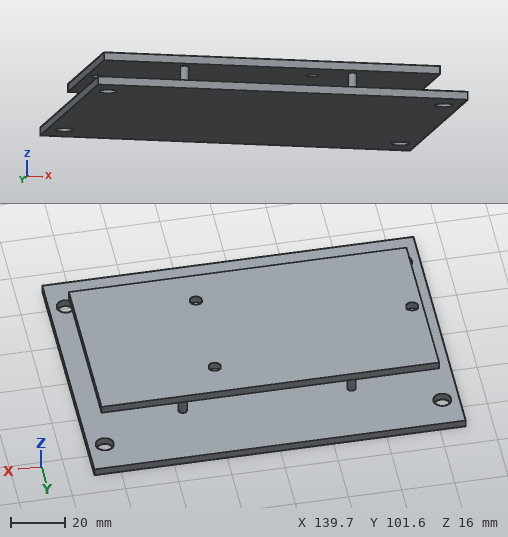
import cadquery as cq

base_length = 139.7
base_width = 101.6
plate_thickness = 3.0

mount_hole_diameter = 6.6
mount_pitch_x = 127.0
mount_pitch_y = 76.2

post_diameter = 3.2
post_height = 10.0
post_pitch_x = 63.5
post_pitch_y = 50.8

deck_length = 127.0
deck_width = 63.5
deck_bottom = plate_thickness + post_height

deck_hole_diameter = 4.5
rear_hole_x = -59.5
front_hole_x = 18.3
front_hole_pitch_y = 36.6
deck_hole_points = [
    (rear_hole_x, 0),
    (front_hole_x, -front_hole_pitch_y / 2),
    (front_hole_x, front_hole_pitch_y / 2),
]


def plate(length, width, bottom):
    """Flat rectangular plate with its underside at the given height."""
    return (
        cq.Workplane("XY")
        .workplane(offset=bottom)
        .rect(length, width)
        .extrude(plate_thickness)
    )


def make_base():
    """Base plate with a mounting hole at each corner."""
    return (
        plate(base_length, base_width, 0)
        .faces(">Z")
        .workplane()
        .rect(mount_pitch_x, mount_pitch_y, forConstruction=True)
        .vertices()
        .hole(mount_hole_diameter)
    )


def make_posts():
    """Four round posts standing on the base plate."""
    return (
        cq.Workplane("XY")
        .workplane(offset=plate_thickness)
        .rect(post_pitch_x, post_pitch_y, forConstruction=True)
        .vertices()
        .circle(post_diameter / 2)
        .extrude(post_height)
    )


def make_deck():
    """Raised plate with its three through holes."""
    return (
        plate(deck_length, deck_width, deck_bottom)
        .faces(">Z")
        .workplane()
        .pushPoints(deck_hole_points)
        .hole(deck_hole_diameter)
    )


result = make_base().union(make_posts()).union(make_deck())